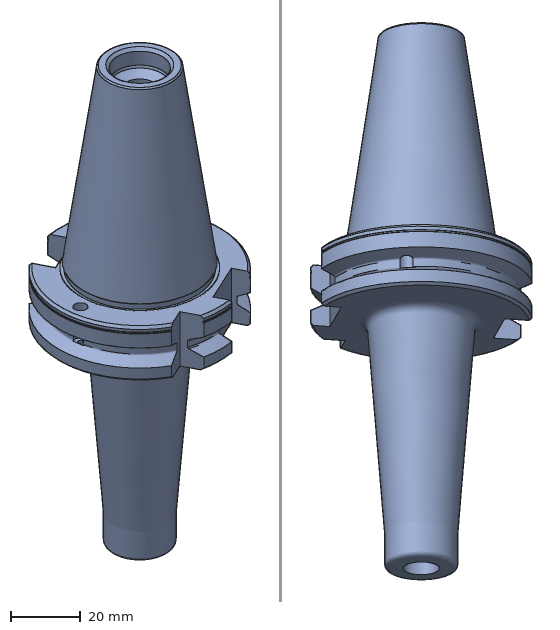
import cadquery as cq
import math

total_length = 162.4

taper_length = 67.0
taper_ratio = 7 / 24
taper_base_radius = 44.3 / 2
taper_top_radius = taper_base_radius - taper_length * taper_ratio / 2
taper_top_chamfer = 0.5

neck_radius = 21.8
neck_chamfer = taper_base_radius - neck_radius
recess_radius = 22.9
recess_depth = 0.3

flange_radius = 63.5 / 2
flange_top = -1.8
flange_height = 18.5
flange_bottom = flange_top - flange_height
flange_chamfer = 0.8

groove_center = -12.3
groove_width = 6.8
groove_floor_radius = 28.0
groove_wall_angle = 28
groove_depth = flange_radius - groove_floor_radius
groove_wall_height = groove_depth * math.tan(math.radians(groove_wall_angle))
groove_floor_width = groove_width - 2 * groove_wall_height
groove_fillet = 0.5

ring_center = -3.9
ring_width = 0.5
ring_depth = 0.2

slot_width = 16.0
left_slot_floor = 22.7
right_slot_floor = 25.0
notch_offset = 18.5

coolant_pitch_radius = 27.0
coolant_radius = 2.1
coolant_angles = (70, 250)
coolant_depth = flange_top - groove_center + groove_floor_width / 2
coolant_passage_radius = 0.8
coolant_passage_depth = coolant_depth + 1.6

shank_end = taper_length - total_length
nose_radius = 21.0 / 2
nose_length = 10.2
nose_fillet = 1.3
shank_root_radius = 30.7 / 2
root_fillet = 2.6

mouth_chamfer = 1.0
counterbore_radius = 8.8
counterbore_depth = 5.7
lead_in_radius = 8.5
lead_in_depth = 6.5
seat_radius = 7.3
seat_depth = 7.1
bore_radius = 5.2
bore_depth = 8.1

clearance = 1.6


def make_body():
    outline = (
        cq.Workplane("XZ")
        .moveTo(0, taper_length)
        .lineTo(taper_top_radius - taper_top_chamfer, taper_length)
        .lineTo(taper_top_radius, taper_length - taper_top_chamfer)
        .lineTo(taper_base_radius, 0)
        .lineTo(neck_radius, -neck_chamfer)
        .lineTo(neck_radius, flange_top - recess_depth)
        .lineTo(recess_radius, flange_top - recess_depth)
        .lineTo(recess_radius, flange_top)
        .lineTo(flange_radius - flange_chamfer, flange_top)
        .lineTo(flange_radius, flange_top - flange_chamfer)
        .lineTo(flange_radius, flange_bottom + flange_chamfer)
        .lineTo(flange_radius - flange_chamfer, flange_bottom)
        .lineTo(shank_root_radius + root_fillet, flange_bottom)
        .radiusArc((shank_root_radius, flange_bottom - root_fillet), -root_fillet)
        .lineTo(nose_radius, shank_end + nose_length)
        .lineTo(nose_radius, shank_end + nose_fillet)
        .radiusArc((nose_radius - nose_fillet, shank_end), nose_fillet)
        .lineTo(0, shank_end)
        .close()
    )
    return outline.revolve(360, (0, 0, 0), (0, 1, 0))


def ring_cutter(points):
    """Revolve a closed (radius, height) outline about the part axis."""
    return cq.Workplane("XZ").polyline(points).close().revolve(360, (0, 0, 0), (0, 1, 0))


def make_v_groove():
    floor_half = groove_floor_width / 2
    mouth_half = groove_width / 2
    outside = flange_radius + clearance
    cutter = ring_cutter([
        (groove_floor_radius, groove_center + floor_half),
        (flange_radius, groove_center + mouth_half),
        (outside, groove_center + mouth_half),
        (outside, groove_center - mouth_half),
        (flange_radius, groove_center - mouth_half),
        (groove_floor_radius, groove_center - floor_half),
    ])
    floor_edges = cq.selectors.RadiusNthSelector(0)
    return cutter.edges(floor_edges).fillet(groove_fillet)


def make_marking_ring():
    inside = flange_radius - ring_depth
    outside = flange_radius + clearance
    return ring_cutter([
        (inside, ring_center + ring_width / 2),
        (outside, ring_center + ring_width / 2),
        (outside, ring_center - ring_width / 2),
        (inside, ring_center - ring_width / 2),
    ])


def flange_cutter(x_min, x_max, y_min, y_max):
    """Block over the full flange height between the given X and Y limits."""
    return (
        cq.Workplane("XY", origin=(0, 0, flange_bottom))
        .moveTo(x_min, y_min)
        .lineTo(x_max, y_min)
        .lineTo(x_max, y_max)
        .lineTo(x_min, y_max)
        .close()
        .extrude(flange_height)
    )


def make_rim_cutouts():
    outside = flange_radius + clearance
    left_slot = flange_cutter(-outside, -left_slot_floor, -slot_width / 2, slot_width / 2)
    right_slot = flange_cutter(right_slot_floor, outside, -slot_width / 2, slot_width / 2)
    notch = flange_cutter(notch_offset, outside, -outside, -notch_offset)
    return left_slot.union(right_slot).union(notch)


def make_coolant_hole(angle):
    x = coolant_pitch_radius * math.cos(math.radians(angle))
    y = coolant_pitch_radius * math.sin(math.radians(angle))
    mouth = cq.Workplane("XY", origin=(x, y, flange_top))
    hole = mouth.circle(coolant_radius).extrude(-coolant_depth)
    passage = mouth.circle(coolant_passage_radius).extrude(-coolant_passage_depth)
    return hole.union(passage)


def make_bore():
    return ring_cutter([
        (0, taper_length),
        (counterbore_radius + mouth_chamfer, taper_length),
        (counterbore_radius, taper_length - mouth_chamfer),
        (counterbore_radius, taper_length - counterbore_depth),
        (lead_in_radius, taper_length - lead_in_depth),
        (seat_radius, taper_length - seat_depth),
        (bore_radius, taper_length - bore_depth),
        (bore_radius, shank_end),
        (0, shank_end),
    ])


result = make_body()
for cutter in (make_v_groove(), make_marking_ring(), make_rim_cutouts(), make_bore()):
    result = result.cut(cutter)
for coolant_angle in coolant_angles:
    result = result.cut(make_coolant_hole(coolant_angle))